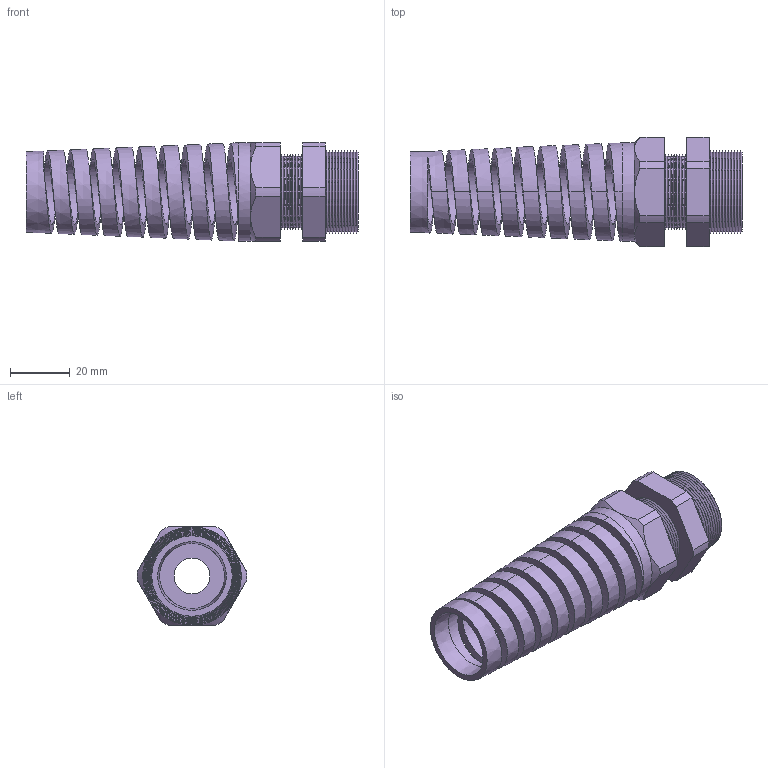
import cadquery as cq
import math


tip_end = 6.0
cone_end = 71.0
collar_end = 75.0
cap_end = 85.0
flange_start = 92.5
flange_end = 100.0
total_length = 111.0

across_flats = 33.02
across_corners = 36.64
corner_radius = across_corners / 2

tip_radius = 13.45
collar_radius = 16.45
mouth_radius = 11.5
spring_bore_radius = 10.9
coil_pitch = 7.64
slot_inner_width = 2.25
slot_outer_width = 2.7
slot_overcut = 2.0
first_slot_centre = 7.88

cap_thread_radius = 12.5
entry_thread_radius = 13.85
thread_depth = 0.6
thread_pitch = 1.0
shank_radius = cap_thread_radius - thread_depth
cable_bore_radius = 6.0


def revolve(points):
    """Solid of revolution about X from (x, radius) points."""
    return cq.Workplane("XZ").polyline(points).close().revolve(360, (0, 0, 0), (1, 0, 0))


def rod(start, end, radius):
    """Round bar along X."""
    return cq.Workplane("YZ").workplane(offset=start).circle(radius).extrude(end - start)


def hexagon(start, end):
    """Hexagonal bar along X with flats at +Z and -Z and its corners turned round."""
    sharp_corners = across_flats / math.cos(math.pi / 6)
    bar = cq.Workplane("YZ").workplane(offset=start).polygon(6, sharp_corners).extrude(end - start)
    return bar.intersect(rod(start, end, corner_radius))


def slot_half_width(radius):
    """Half of the slot's axial width at a radius; the slot widens evenly outwards."""
    spread = (slot_outer_width - slot_inner_width) / (collar_radius - spring_bore_radius)
    return (slot_inner_width + (radius - spring_bore_radius) * spread) / 2


def helical_slot():
    """Right-handed helical cutter that separates the coils between tip ring and collar."""
    inner = spring_bore_radius - slot_overcut
    outer = collar_radius + slot_overcut
    turns = math.ceil((cone_end - tip_end) / coil_pitch) + 2
    path = cq.Wire.makeHelix(coil_pitch, turns * coil_pitch, inner)
    profile = (
        cq.Workplane("XZ")
        .moveTo(inner, -slot_half_width(inner))
        .lineTo(outer, -slot_half_width(outer))
        .lineTo(outer, slot_half_width(outer))
        .lineTo(inner, slot_half_width(inner))
        .close()
    )
    cutter = profile.sweep(cq.Workplane(path), isFrenet=True)
    cutter = cutter.rotate((0, 0, 0), (0, 1, 0), 90)
    cutter = cutter.rotate((0, 0, 0), (1, 0, 0), -90)
    cutter = cutter.translate((first_slot_centre - coil_pitch, 0, 0))
    return cutter.intersect(rod(tip_end, cone_end, 2 * outer))


def make_spring():
    """Tapered sleeve with a flared mouth, slotted into a coil, ending in a round collar."""
    sleeve = revolve([
        (0, mouth_radius),
        (0, tip_radius),
        (cone_end, collar_radius),
        (collar_end, collar_radius),
        (collar_end, spring_bore_radius),
        (tip_end, spring_bore_radius),
    ])
    return sleeve.cut(helical_slot())


def make_cap_nut():
    """Spring and hexagonal nut in one piece, bored to take the shank of the gland body."""
    chamfer = corner_radius - collar_radius
    chamfered_envelope = revolve([
        (collar_end, 0),
        (collar_end, collar_radius),
        (collar_end + chamfer, corner_radius),
        (cap_end, corner_radius),
        (cap_end, 0),
    ])
    nut = hexagon(collar_end, cap_end).intersect(chamfered_envelope)
    nut = nut.cut(rod(collar_end, cap_end, shank_radius))
    return make_spring().union(nut)


def threaded(start, end, radius):
    """Round bar with V-shaped thread ridges side by side, a root at each end."""
    ridges = round((end - start) / thread_pitch)
    pitch = (end - start) / ridges
    root = radius - thread_depth
    points = [(start, 0), (start, root)]
    for ridge in range(ridges):
        points.append((start + (ridge + 0.5) * pitch, radius))
        points.append((start + (ridge + 1) * pitch, root))
    points.append((end, 0))
    return revolve(points)


def make_gland_body():
    """Shank inside the cap nut, cap thread, hexagonal flange and entry thread, bored through."""
    solid_body = (
        rod(collar_end, cap_end, shank_radius)
        .union(threaded(cap_end, flange_start, cap_thread_radius))
        .union(hexagon(flange_start, flange_end))
        .union(threaded(flange_end, total_length, entry_thread_radius))
    )
    return solid_body.cut(rod(collar_end, total_length, cable_bore_radius))


cap_nut = make_cap_nut()
gland_body = make_gland_body()

result = cq.Compound.makeCompound([cap_nut.solids().val(), gland_body.solids().val()])